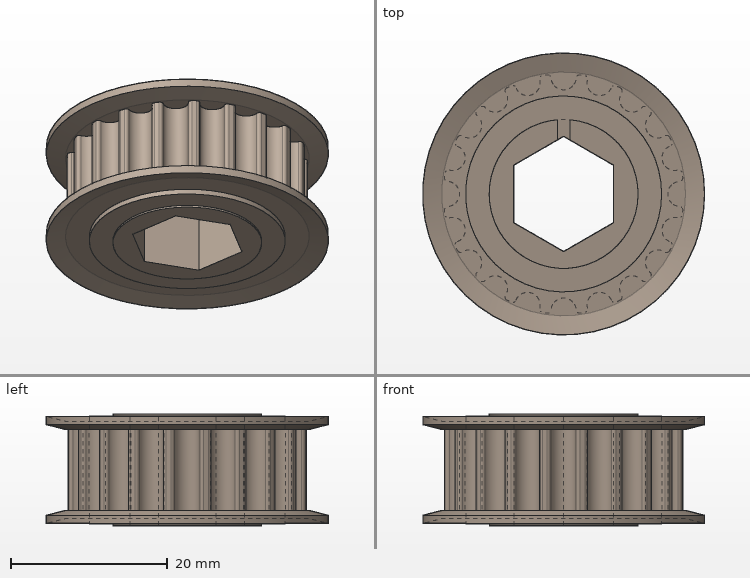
import cadquery as cq
import math

overall_height = 14.2875
tooth_count = 20
belt_pitch = 5.0
pitch_line_offset = 0.5715
tip_radius = tooth_count * belt_pitch / (2 * math.pi) - pitch_line_offset
toothed_width = 10.3

groove_radius = 1.61
groove_depth = 2.06
land_edge_fillet = 0.43

shoulder_radius = 12.5
raised_ring_radius = 9.5
raised_ring_height = 0.254
hex_across_flats = 12.7
index_slot_width = 1.5875

flange_radius = 18.0
flange_flat_radius = 15.55
flange_thickness = 1.05
flange_dish_height = 0.63

ring_top = overall_height / 2
shoulder_top = ring_top - raised_ring_height
flange_seat = toothed_width / 2


def centered_cylinder(radius, height):
    return cq.Workplane("XY").circle(radius).extrude(height / 2, both=True)


def groove_cutter():
    """Round groove along Z on the +X side, its mouth rounded over onto the tooth lands."""
    groove_x = tip_radius - groove_depth + groove_radius
    fillet_orbit = tip_radius - land_edge_fillet
    center_distance = groove_radius + land_edge_fillet
    land_angle = math.acos(
        (groove_x**2 + fillet_orbit**2 - center_distance**2) / (2 * groove_x * fillet_orbit)
    )
    fillet_x = fillet_orbit * math.cos(land_angle)
    fillet_y = fillet_orbit * math.sin(land_angle)
    land_x = tip_radius * math.cos(land_angle)
    land_y = tip_radius * math.sin(land_angle)
    groove_direction = math.atan2(-fillet_y, groove_x - fillet_x)
    tangent_x = fillet_x + land_edge_fillet * math.cos(groove_direction)
    tangent_y = fillet_y + land_edge_fillet * math.sin(groove_direction)
    middle_direction = (groove_direction + land_angle) / 2
    middle_x = fillet_x + land_edge_fillet * math.cos(middle_direction)
    middle_y = fillet_y + land_edge_fillet * math.sin(middle_direction)
    outside_x = tip_radius + land_edge_fillet
    return (
        cq.Workplane("XY")
        .moveTo(outside_x, land_y)
        .lineTo(land_x, land_y)
        .threePointArc((middle_x, middle_y), (tangent_x, tangent_y))
        .threePointArc((groove_x - groove_radius, 0), (tangent_x, -tangent_y))
        .threePointArc((middle_x, -middle_y), (land_x, -land_y))
        .lineTo(outside_x, -land_y)
        .close()
        .extrude(toothed_width / 2, both=True)
    )


def make_toothed_rim():
    rim = centered_cylinder(tip_radius, toothed_width)
    cutter = groove_cutter()
    for tooth in range(tooth_count):
        rim = rim.cut(cutter.rotate((0, 0, 0), (0, 0, 1), tooth * 360 / tooth_count))
    return rim


def make_pulley():
    """Toothed rim with stepped hub ends, a hex bore and an index slot in the upper raised ring."""
    raised_rings = centered_cylinder(raised_ring_radius, overall_height)
    shoulders = centered_cylinder(shoulder_radius, 2 * shoulder_top)
    index_slot = (
        cq.Workplane("XY")
        .box(index_slot_width, shoulder_radius, raised_ring_height, centered=(True, False, False))
        .translate((0, 0, shoulder_top))
    )
    hex_bore = (
        cq.Workplane("XY")
        .polygon(6, hex_across_flats, circumscribed=True)
        .extrude(overall_height / 2, both=True)
    )
    return make_toothed_rim().union(shoulders).union(raised_rings).cut(index_slot).cut(hex_bore)


def make_upper_flange():
    """Ring pressed over the hub shoulder, flat inside and dished outward at the rim."""
    flat_top = flange_seat + flange_thickness
    return (
        cq.Workplane("XZ")
        .moveTo(shoulder_radius, flange_seat)
        .lineTo(flange_flat_radius, flange_seat)
        .lineTo(flange_radius, flange_seat + flange_dish_height)
        .lineTo(flange_radius, flat_top + flange_dish_height)
        .lineTo(flange_flat_radius, flat_top)
        .lineTo(shoulder_radius, flat_top)
        .close()
        .revolve(360, (0, 0, 0), (0, 1, 0))
    )


pulley = make_pulley()
upper_flange = make_upper_flange()
flanges = [upper_flange, upper_flange.mirror("XY")]

result = cq.Compound.makeCompound([pulley.val(), *[flange.val() for flange in flanges]])